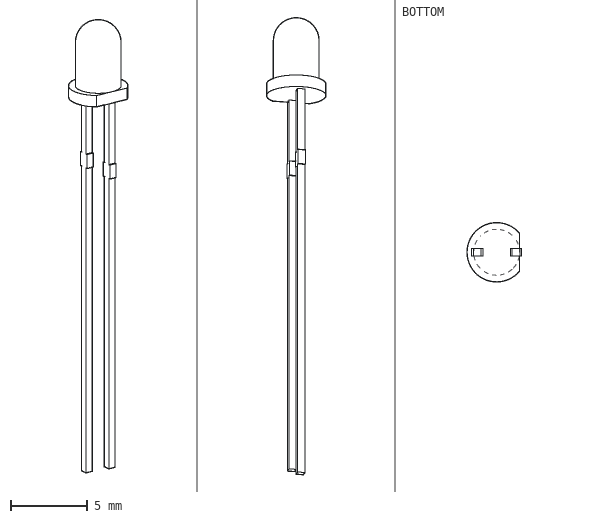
import cadquery as cq

overall_height = 31.7
lens_diameter = 3.0
lens_radius = lens_diameter / 2
body_height = 5.3
flange_diameter = 3.9
flange_radius = flange_diameter / 2
flange_height = 0.8
flat_offset = lens_radius

lead_pitch = 2.55
lead_width = 0.5
standoff_width = 0.73
standoff_height = 0.98
standoff_drop = 4.22
long_lead_length = overall_height - body_height
lead_length_difference = 1.0
short_lead_length = long_lead_length - lead_length_difference


def make_lens():
    """Domed lens revolved about Z, with its base at Z = 0."""
    dome_base = body_height - lens_radius
    dome_mid = lens_radius * 0.5 ** 0.5
    return (
        cq.Workplane("XZ")
        .lineTo(lens_radius, 0)
        .lineTo(lens_radius, dome_base)
        .threePointArc((dome_mid, dome_base + dome_mid), (0, body_height))
        .close()
        .revolve(360, (0, 0, 0), (0, 1, 0))
    )


def make_flange():
    """Round flange with a polarity flat on its +X side."""
    disc = cq.Workplane("XY").circle(flange_radius).extrude(flange_height)
    keep = (
        cq.Workplane("XY")
        .box(flange_diameter, flange_diameter, flange_height, centered=(True, True, False))
        .translate((flat_offset - flange_radius, 0, 0))
    )
    return disc.intersect(keep)


def make_lead(x, length):
    """Square lead hanging below the flange, widened along X at the standoff."""
    pin = cq.Workplane("XY").center(x, 0).rect(lead_width, lead_width).extrude(-length)
    standoff = (
        cq.Workplane("XY", origin=(x, 0, -standoff_drop))
        .rect(standoff_width, lead_width)
        .extrude(-standoff_height)
    )
    return pin.union(standoff)


result = make_lens().union(make_flange())
for lead_x, lead_length in (
    (-lead_pitch / 2, long_lead_length),
    (lead_pitch / 2, short_lead_length),
):
    result = result.union(make_lead(lead_x, lead_length))